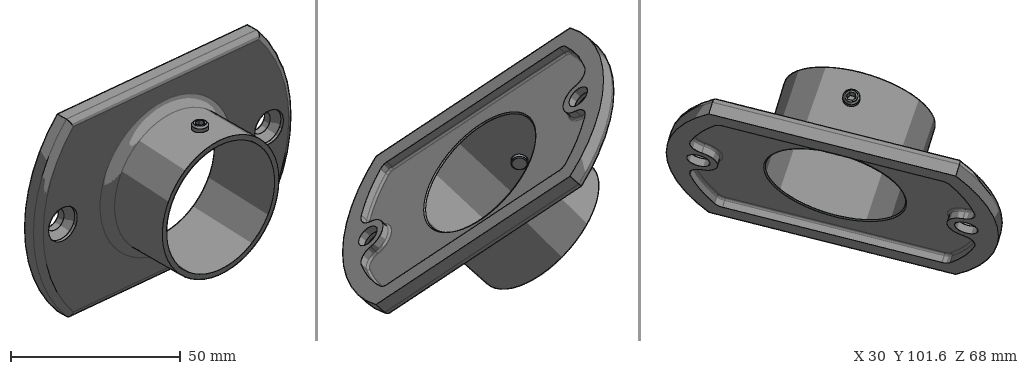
import cadquery as cq
import math

flange_radius = 50.8
flange_height = 68.0
flange_thickness = 6.0
flange_edge_fillet = 2.0

recess_inset = 5.9
recess_depth = 3.0
recess_corner_radius = 3.0
recess_floor_fillet = 0.7
lug_radius = 5.9
lug_corner_radius = 4.5

mount_hole_radius = 3.6
mount_hole_offset = 41.0
screw_head_radius = 5.7
counterbore_depth = 1.1
countersink_depth = 2.3

overall_length = 30.0
tube_radius = 23.2
bore_radius = 21.5
bore_chamfer = 0.4
neck_fillet = 3.0

screw_radius = 2.5
screw_length = 5.0
screw_x = 20.9
screw_bottom = 20.0
screw_top_chamfer = 0.6
screw_bottom_chamfer = 0.3
socket_width = 2.5
socket_depth = 2.5


def flat_sided_disc(radius, height, thickness):
    """Disc with its axis along X and its top and bottom cut flat."""
    disc = cq.Workplane("YZ").circle(radius).extrude(thickness)
    trim = cq.Workplane("YZ").rect(2 * radius, height).extrude(thickness)
    return disc.intersect(trim)


def make_recess():
    """Recess volume: inset flange outline, less a rounded lug at each mounting hole."""
    radius = flange_radius - recess_inset
    height = flange_height - 2 * recess_inset
    recess = flat_sided_disc(radius, height, recess_depth)
    recess = recess.edges("|X").fillet(recess_corner_radius)
    lugs = (
        cq.Workplane("YZ")
        .pushPoints([(-mount_hole_offset, 0), (mount_hole_offset, 0)])
        .circle(lug_radius)
        .extrude(recess_depth)
    )
    recess = recess.cut(lugs)
    corner_zone = cq.selectors.BoxSelector(
        (-recess_depth, -radius, -2 * lug_radius),
        (2 * recess_depth, radius, 2 * lug_radius),
    )
    recess = recess.edges("|X").edges(corner_zone).fillet(lug_corner_radius)
    return recess.faces(">X").edges().fillet(recess_floor_fillet)


def make_mount_hole(y):
    """Through-hole volume that widens through a cone to a shallow counterbore."""
    cone_end = flange_thickness - counterbore_depth
    cone_start = cone_end - countersink_depth
    half_profile = (
        cq.Workplane("XY", origin=(0, y, 0))
        .lineTo(0, mount_hole_radius)
        .lineTo(cone_start, mount_hole_radius)
        .lineTo(cone_end, screw_head_radius)
        .lineTo(flange_thickness, screw_head_radius)
        .lineTo(flange_thickness, 0)
        .close()
    )
    return half_profile.revolve(360, (0, 0, 0), (1, 0, 0))


def make_flanged_tube():
    flange = flat_sided_disc(flange_radius, flange_height, flange_thickness)
    flange = flange.faces(">X").edges().fillet(flange_edge_fillet)

    tube = cq.Workplane("YZ").circle(tube_radius).extrude(overall_length)
    body = flange.union(tube)
    tolerance = 0.1
    neck_edge = cq.selectors.BoxSelector(
        (flange_thickness - tolerance, -tube_radius - tolerance, -tube_radius - tolerance),
        (flange_thickness + tolerance, tube_radius + tolerance, tube_radius + tolerance),
        boundingbox=True,
    )
    body = body.edges(neck_edge).fillet(neck_fillet)

    body = body.cut(make_recess())
    bore = cq.Workplane("YZ").circle(bore_radius).extrude(overall_length)
    body = body.cut(bore)
    mouth = cq.Solid.makeCone(
        bore_radius + bore_chamfer,
        bore_radius,
        bore_chamfer,
        cq.Vector(recess_depth, 0, 0),
        cq.Vector(1, 0, 0),
    )
    body = body.cut(cq.Workplane(mouth))

    screw_hole = (
        cq.Workplane("XY", origin=(screw_x, 0, screw_bottom))
        .circle(screw_radius)
        .extrude(screw_length)
    )
    body = body.cut(screw_hole)
    for y in (-mount_hole_offset, mount_hole_offset):
        body = body.cut(make_mount_hole(y))
    return body


def make_set_screw():
    """Headless screw with chamfered ends and a hexagon socket in its top."""
    screw = (
        cq.Workplane("XY", origin=(screw_x, 0, screw_bottom))
        .circle(screw_radius)
        .extrude(screw_length)
        .faces(">Z")
        .edges()
        .chamfer(screw_top_chamfer)
        .faces("<Z")
        .edges()
        .chamfer(screw_bottom_chamfer)
    )
    socket = (
        cq.Workplane("XY", origin=(screw_x, 0, screw_bottom + screw_length))
        .transformed(rotate=(0, 0, 30))
        .polygon(6, socket_width / math.cos(math.pi / 6))
        .extrude(-socket_depth)
    )
    return screw.cut(socket)


flanged_tube = make_flanged_tube()
set_screw = make_set_screw()
result = cq.Compound.makeCompound([flanged_tube.val(), set_screw.val()])